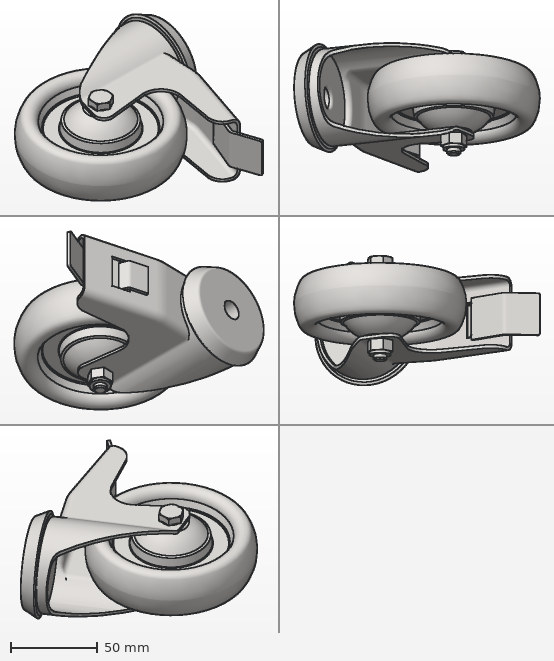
import cadquery as cq
import math


swivel_x = -29.0
bolt_radius = 4.0
sheet = 2.0
hex_flats = 13.0
mount_hole_radius = 6.0

tyre_radius = 50.0
tyre_half_width = 15.0
tyre_edge_radius = 42.4
rim_radius = 36.3
rim_half_width = 9.3
rim_inner_radius = 34.1
disc_half_width = 4.4
disc_groove = 0.7
hub_base_radius = 24.4
hub_base_flare = 0.4
hub_rim_radius = 23.0
hub_rim_half_width = 10.6
dome_base_radius = 21.4
dome_base_half_width = 11.2
dome_sphere_radius = 26.6

cup_radius = 28.5
cup_top = 68.5
fork_half_width = 21.8
web_top = 64.6
web_bend_x = 14.6
web_slope = 16.0
web_end_x = 64.2
web_bend_radius = 22.7
web_edge_radius = 5.2
cup_blend_radius = 4.2
fork_low = -17.0
channel_overrun = 7.1
cup_top_round = 2.0
step_round = 2.8

cup_lip = (-63.7, 63.9)
throat_corner, throat_round = (-47.3, 60.3), 8.5
heel_corner, heel_round = (-15.0, -5.0), 15.6
toe_corner, toe_round = (13.7, -11.9), 6.8
arch_corner, arch_round = (7.0, 42.4), 14.2
tail_corner, tail_round = (60.3, 35.7), 10.6

slot_start_x = 35.3
slot_end_x = 46.7
slot_width = 21.0

head_radius = 31.6
head_top = 78.0
head_top_radius = 27.2
head_edge_round = 2.0
head_rim_y = 69.3
head_base_radius = 29.7

washer_radius = 6.1
washer_height = 0.5
bolt_head_height = 5.0
bolt_end_z = -33.3
bolt_end_chamfer = 0.8
hex_corner_chamfer = 0.7
nut_hex_height = 6.7
nut_collar_height = 1.7
nut_collar_radius = 6.2

lever_width = 24.8
tongue_width = 19.0
tongue_length = 11.3
tongue_gap = 0.5
knee_radius = 2.8
knee_x = 36.5
tongue_foot = (39.0, 53.0)
lever_bend = (61.5, 44.6)
lever_tip = (81.0, 52.1)
lever_bend_radius = 4.0
lever_corner_radius = 1.3


def web_height(x):
    """Y of the outer face of the sloping part of the fork web."""
    return web_top - (x - web_bend_x) * math.tan(math.radians(web_slope))


def hub_end():
    """Z at which the hub meets the inside of the fork."""
    return fork_half_width - sheet


def revolve_about_axle(half_profile):
    """Revolve a closed (radius, z) sketch, drawn on XZ, around the Z axis."""
    return half_profile.revolve(360, (0, 0, 0), (0, 1, 0))


def make_tyre():
    """Tyre with a domed tread and lips rounded down to the rim."""
    lip = tyre_edge_radius - rim_radius
    lip_height = tyre_half_width - rim_half_width
    lip_mid = (tyre_edge_radius - lip * math.sqrt(0.5), rim_half_width + lip_height * math.sqrt(0.5))
    tread_depth = tyre_radius - tyre_edge_radius
    shoulder = (tyre_edge_radius + tread_depth * math.sqrt(0.5), tyre_half_width * math.sqrt(0.5))
    profile = (
        cq.Workplane("XZ")
        .moveTo(rim_radius, -rim_half_width)
        .lineTo(rim_radius, rim_half_width)
        .threePointArc(lip_mid, (tyre_edge_radius, tyre_half_width))
        .spline([shoulder, (tyre_radius, 0)], tangents=[(1, 0), (0, -1)], includeCurrent=True)
        .spline(
            [(shoulder[0], -shoulder[1]), (tyre_edge_radius, -tyre_half_width)],
            tangents=[(0, -1), (-1, 0)],
            includeCurrent=True,
        )
        .threePointArc((lip_mid[0], -lip_mid[1]), (rim_radius, -rim_half_width))
        .close()
    )
    return revolve_about_axle(profile)


def make_core():
    """Rim, disc and domed hub, symmetric about the middle plane."""
    end = hub_end()
    sphere_z = dome_base_half_width - math.sqrt(dome_sphere_radius**2 - dome_base_radius**2)
    end_radius = math.sqrt(dome_sphere_radius**2 - (end - sphere_z) ** 2)
    mid_z = (dome_base_half_width + end) / 2
    mid_radius = math.sqrt(dome_sphere_radius**2 - (mid_z - sphere_z) ** 2)
    half_profile = (
        cq.Workplane("XZ")
        .moveTo(bolt_radius, 0)
        .lineTo(bolt_radius, end)
        .lineTo(end_radius, end)
        .threePointArc((mid_radius, mid_z), (dome_base_radius, dome_base_half_width))
        .lineTo(hub_rim_radius, hub_rim_half_width)
        .lineTo(hub_base_radius - hub_base_flare, disc_half_width + hub_base_flare)
        .lineTo(hub_base_radius, disc_half_width)
        .lineTo(rim_inner_radius - disc_groove, disc_half_width)
        .lineTo(rim_inner_radius, disc_half_width + disc_groove)
        .lineTo(rim_radius, rim_half_width)
        .lineTo(rim_radius, 0)
        .close()
    )
    half = revolve_about_axle(half_profile)
    return half.union(half.mirror("XY"))


def channel_plan(inset):
    """Upper half of the channel as a plain prism along Y, flaring through a blend arc onto the cup wall."""
    half_width = fork_half_width - inset
    wall = cup_radius - inset
    blend = cup_blend_radius + inset
    centre_z = half_width + blend
    centre_angle = math.asin(centre_z / (wall + blend))
    centre_x = swivel_x + (wall + blend) * math.cos(centre_angle)
    touch = (swivel_x + wall * math.cos(centre_angle), wall * math.sin(centre_angle))
    blend_mid_angle = (centre_angle + math.pi / 2) / 2
    blend_mid = (centre_x - blend * math.cos(blend_mid_angle), centre_z - blend * math.sin(blend_mid_angle))
    wall_mid = (swivel_x + wall * math.cos(blend_mid_angle), wall * math.sin(blend_mid_angle))
    return (
        cq.Workplane("XY")
        .moveTo(swivel_x, 0)
        .lineTo(swivel_x, wall)
        .threePointArc(wall_mid, touch)
        .threePointArc(blend_mid, (centre_x, half_width))
        .lineTo(web_end_x + channel_overrun, half_width)
        .lineTo(web_end_x + channel_overrun, 0)
        .close()
        .extrude(web_top - fork_low)
        .rotate((0, 0, 0), (1, 0, 0), 90)
        .translate((0, web_top, 0))
    )


def fork_envelope(inset):
    """Cup and channel together, with every face moved inwards by inset."""
    top = web_top - inset
    drop = inset / math.cos(math.radians(web_slope))
    reach = web_end_x + channel_overrun
    cup = (
        cq.Workplane("XZ", origin=(swivel_x, cup_top - inset, 0))
        .circle(cup_radius - inset)
        .extrude(cup_top - inset - fork_low)
    )
    if cup_top_round > inset:
        cup = cup.faces(">Y").edges().fillet(cup_top_round - inset)
    side = (
        cq.Workplane("XY", origin=(0, 0, -cup_radius))
        .moveTo(swivel_x, fork_low)
        .lineTo(swivel_x, top)
        .lineTo(web_bend_x, top)
        .lineTo(reach, web_height(reach) - drop)
        .lineTo(reach, fork_low)
        .close()
        .extrude(2 * cup_radius)
        .edges(cq.selectors.NearestToPointSelector((web_bend_x, top, 0)))
        .fillet(web_bend_radius - inset)
    )
    half = channel_plan(inset).intersect(side)
    half = half.faces(">Y").edges("|X").edges(">Z").fillet(web_edge_radius - inset)
    return cup.union(half).union(half.mirror("XY"))


def fork_outline():
    """Side shape of the fork, as a prism right through its width."""
    lean = math.tan(math.radians(web_slope))
    end_top = (web_end_x + (head_top - web_height(web_end_x)) * lean, head_top)
    rounded = [
        (throat_corner, throat_round),
        (heel_corner, heel_round),
        (toe_corner, toe_round),
        (arch_corner, arch_round),
        (tail_corner, tail_round),
    ]
    corners = [corner for corner, _ in rounded]
    prism = (
        cq.Workplane("XY", origin=(0, 0, -cup_radius))
        .polyline([cup_lip, *corners, end_top, (cup_lip[0], head_top)])
        .close()
        .extrude(2 * cup_radius)
    )
    for corner, radius in rounded:
        prism = prism.edges(cq.selectors.NearestToPointSelector((*corner, 0))).fillet(radius)
    return prism


def web_slot():
    """Cutter for the opening in the web through which the lever tongue rises."""
    return (
        cq.Workplane("XY", origin=(0, 0, -slot_width / 2))
        .moveTo(slot_start_x, web_height(slot_start_x) - 3 * sheet)
        .lineTo(slot_start_x, web_height(slot_start_x) + sheet)
        .lineTo(slot_end_x, web_height(slot_end_x) + sheet)
        .lineTo(slot_end_x, web_height(slot_end_x) - 3 * sheet)
        .close()
        .extrude(slot_width)
    )


def fork_cavity():
    """Inside of the fork, rounded where the cup wall steps down to the web."""
    cavity = fork_envelope(sheet)
    level = web_top - sheet
    step = cq.selectors.BoxSelector(
        (swivel_x, level - sheet / 2, -cup_radius),
        (swivel_x + cup_radius, level + sheet / 2, cup_radius),
    )
    return cavity.edges("%CIRCLE").edges(step).fillet(step_round)


def mount_hole():
    """Hole on the swivel axis whose mouth flares out through the cup floor."""
    floor = cup_top - sheet
    mouth = mount_hole_radius + sheet
    bulge = sheet * (1 - math.sqrt(0.5))
    return (
        cq.Workplane("XY", origin=(swivel_x, 0, 0))
        .moveTo(0, floor)
        .lineTo(mouth, floor)
        .threePointArc((mount_hole_radius + bulge, floor + bulge), (mount_hole_radius, cup_top))
        .lineTo(mount_hole_radius, head_top)
        .lineTo(0, head_top)
        .close()
        .revolve(360, (0, 0, 0), (0, 1, 0))
    )


def make_fork():
    """Sheet fork: a cup under the head, two legs and a web carrying the lever."""
    outer = fork_envelope(0)
    axle_hole = (
        cq.Workplane("XY", origin=(0, 0, -cup_radius))
        .circle(bolt_radius)
        .extrude(2 * cup_radius)
    )
    fork = outer.cut(fork_cavity()).cut(mount_hole())
    return fork.intersect(fork_outline()).cut(web_slot()).cut(axle_hole)


def make_head():
    """Flared cap on top of the cup, drilled through on the swivel axis."""
    profile = (
        cq.Workplane("XY", origin=(swivel_x, 0, 0))
        .moveTo(0, cup_top)
        .lineTo(head_base_radius, cup_top)
        .lineTo(head_radius, head_rim_y)
        .lineTo(head_top_radius, head_top)
        .lineTo(0, head_top)
        .close()
    )
    head = profile.revolve(360, (0, 0, 0), (0, 1, 0))
    return head.faces(">Y").edges().fillet(head_edge_round).cut(mount_hole())


def hex_prism(start_z, height):
    """Hexagon along Z with two corners on the X axis."""
    return (
        cq.Workplane("XY", origin=(0, 0, start_z))
        .polygon(6, hex_flats / math.cos(math.pi / 6))
        .extrude(height)
    )


def make_bolt():
    """Shank, washer face and hexagon head with its corners chamfered."""
    shank = (
        cq.Workplane("XY", origin=(0, 0, bolt_end_z))
        .circle(bolt_radius)
        .extrude(fork_half_width - bolt_end_z)
        .faces("<Z")
        .chamfer(bolt_end_chamfer)
    )
    washer_face = (
        cq.Workplane("XY", origin=(0, 0, fork_half_width))
        .circle(washer_radius)
        .extrude(washer_height)
    )
    head = hex_prism(fork_half_width + washer_height, bolt_head_height)
    corner_trim = (
        cq.Workplane("XY", origin=(0, 0, fork_half_width))
        .circle(hex_flats / math.cos(math.pi / 6) / 2)
        .extrude(washer_height + bolt_head_height)
        .faces(">Z")
        .chamfer(hex_corner_chamfer)
    )
    return shank.union(washer_face).union(head.intersect(corner_trim))


def make_nut():
    """Locking nut: a hexagon against the fork and a round collar below it."""
    hex_base_z = -fork_half_width - nut_hex_height
    collar = (
        cq.Workplane("XY", origin=(0, 0, hex_base_z - nut_collar_height))
        .circle(nut_collar_radius)
        .extrude(nut_collar_height)
    )
    bore = (
        cq.Workplane("XY", origin=(0, 0, bolt_end_z))
        .circle(bolt_radius)
        .extrude(-bolt_end_z)
    )
    return hex_prism(hex_base_z, nut_hex_height).union(collar).cut(bore)


def bent_strip(path, width, fold_radii):
    """Sheet-thick strip whose lower face follows path in XY, centred on Z = 0.

    Each inner point of the path has the radius of its outer side in fold_radii.
    """
    headings = [math.atan2(q[1] - p[1], q[0] - p[0]) for p, q in zip(path, path[1:])]
    starts = [headings[0], *headings]
    ends = [*headings, headings[-1]]
    upper = []
    for (x, y), before, after in zip(path, starts, ends):
        normal = (before + after) / 2 + math.pi / 2
        miter = sheet / math.cos((after - before) / 2)
        upper.append((x + miter * math.cos(normal), y + miter * math.sin(normal)))
    strip = (
        cq.Workplane("XY", origin=(0, 0, -width / 2))
        .polyline([*path, *reversed(upper)])
        .close()
        .extrude(width)
    )
    turns = [after - before for before, after in zip(headings, headings[1:])]
    for low, high, turn, radius in zip(path[1:], upper[1:], turns, fold_radii):
        outside, inside = (low, high) if turn > 0 else (high, low)
        strip = strip.edges(cq.selectors.NearestToPointSelector((*outside, 0))).fillet(radius)
        strip = strip.edges(cq.selectors.NearestToPointSelector((*inside, 0))).fillet(radius - sheet)
    return strip


def make_lever():
    """Pedal plate under the web, with a narrower tongue that rises through the slot."""
    knee = (knee_x, web_height(knee_x) + tongue_gap)
    tip_x = knee_x - tongue_length
    tongue_tip = (tip_x, web_height(tip_x) + tongue_gap)
    tongue = bent_strip([tongue_tip, knee, tongue_foot], tongue_width, [knee_radius])
    plate = bent_strip([tongue_foot, lever_bend, lever_tip], lever_width, [lever_bend_radius])
    tip_corners = plate.faces(">X").edges("not |Z").edges(">Z or <Z")
    return tongue.union(tip_corners.fillet(lever_corner_radius))


tyre = make_tyre()
core = make_core()
fork = make_fork()
head = make_head()
bolt = make_bolt()
nut = make_nut()
lever = make_lever()

result = cq.Compound.makeCompound(
    [tyre.val(), core.val(), fork.val(), head.val(), bolt.val(), nut.val(), lever.val()]
)